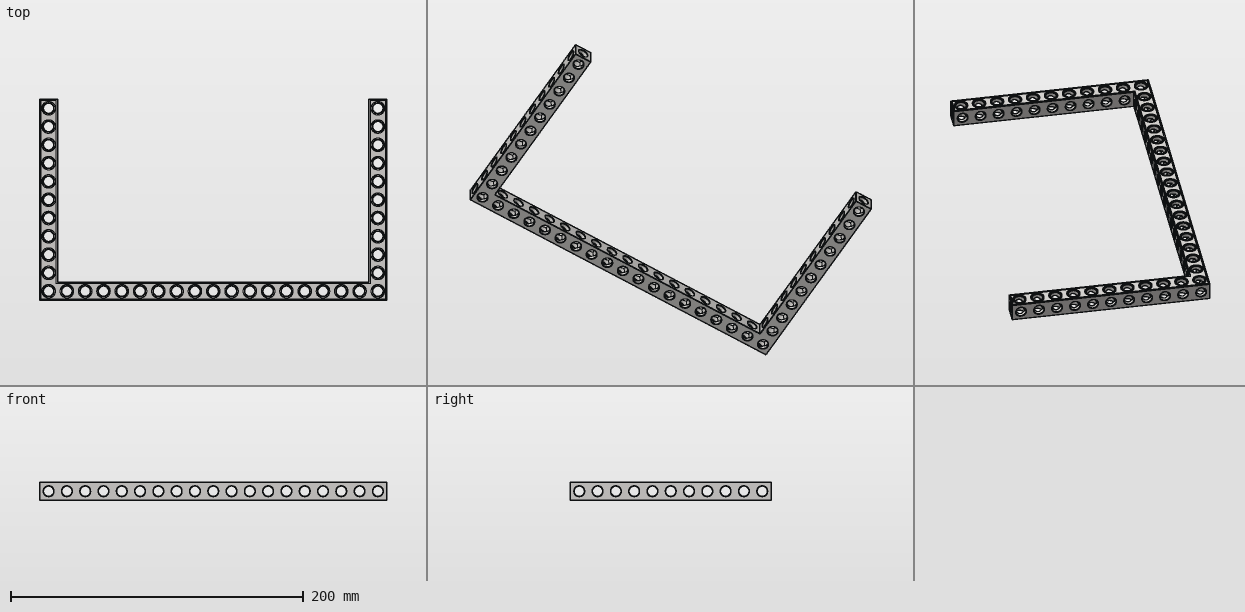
import cadquery as cq

length = 237.5
holes_along_base = 19
holes_along_arm = 11
pitch = length / holes_along_base
bar = pitch
depth = holes_along_arm * pitch
edge_chamfer = 0.28

hole_diameter = 7.0
mouth_chamfer = 0.35

ring_diameter = 9.3
rim = 1.07
relief_depth = 0.2

base_centres = [(i + 0.5) * pitch for i in range(holes_along_base)]
arm_centres = [(i + 0.5) * pitch for i in range(holes_along_arm)]
first_line = base_centres[0]
last_line = base_centres[-1]
mid_height = bar / 2

vertical_points = [(x, first_line) for x in base_centres]
for y in arm_centres[1:]:
    vertical_points += [(first_line, y), (last_line, y)]

x_axis = cq.Vector(1, 0, 0)
y_axis = cq.Vector(0, 1, 0)
z_axis = cq.Vector(0, 0, 1)


def u_block(inset, bottom, height):
    """U-shaped block open toward +Y, with its outline set in from the bar's faces."""
    track = bar - 2 * inset
    outer = (
        cq.Workplane("XY")
        .box(length - 2 * inset, depth - 2 * inset, height, centered=False)
        .translate((inset, inset, bottom))
    )
    opening = (
        cq.Workplane("XY")
        .box(length - 2 * (inset + track), depth, height, centered=False)
        .translate((inset + track, inset + track, bottom))
    )
    return outer.cut(opening)


def top_relief():
    """Shallow pocket in the top face, leaving a rim and a ring round each vertical hole."""
    floor = bar - relief_depth
    rings = (
        cq.Workplane("XY")
        .workplane(offset=floor)
        .pushPoints(vertical_points)
        .circle(ring_diameter / 2)
        .extrude(relief_depth)
    )
    return u_block(rim, floor, relief_depth).cut(rings)


def drill(start, direction, run):
    """Straight drill of the given run, flared at both ends to chamfer the hole's mouths."""
    radius = hole_diameter / 2
    mouth_radius = radius + mouth_chamfer
    shaft = cq.Solid.makeCylinder(radius, run, start, direction)
    entry = cq.Solid.makeCone(mouth_radius, radius, mouth_chamfer, start, direction)
    end = start + direction * run
    leave = cq.Solid.makeCone(mouth_radius, radius, mouth_chamfer, end, direction * -1)
    return shaft.fuse(entry, leave)


drills = [drill(cq.Vector(x, y, 0), z_axis, bar) for x, y in vertical_points]

for x in base_centres:
    run = depth if x in (first_line, last_line) else bar
    drills.append(drill(cq.Vector(x, 0, mid_height), y_axis, run))

drills.append(drill(cq.Vector(0, first_line, mid_height), x_axis, length))
for y in arm_centres[1:]:
    for arm_start in (0, length - bar):
        drills.append(drill(cq.Vector(arm_start, y, mid_height), x_axis, bar))

frame = u_block(0, 0, bar).edges().chamfer(edge_chamfer)
blank = frame.cut(top_relief())
result = cq.Workplane(blank.val().cut(*drills).Solids()[0])